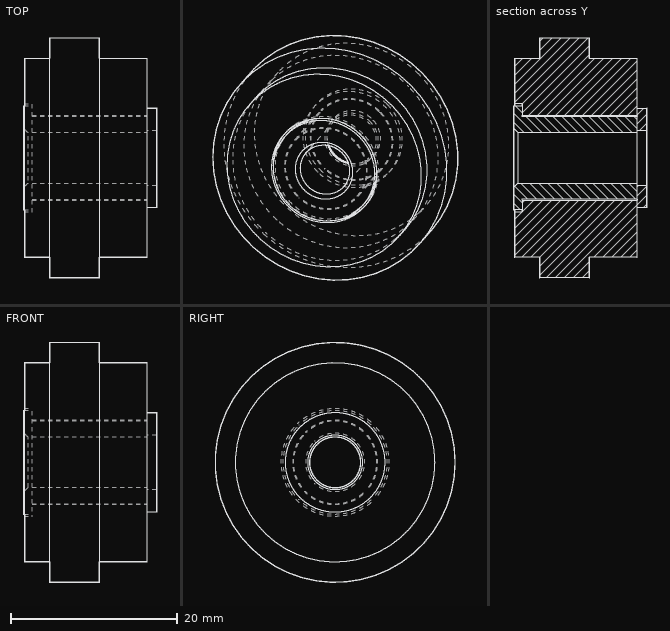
import cadquery as cq

TOTAL_LENGTH = 16.0

WHEEL_DIAMETER = 24
TREAD_DIAMETER = 28.9
WHEEL_BORE_DIAMETER = 10.2
HEAD_RECESS_DIAMETER = 13
HEAD_PROTRUSION = 0.1
FRONT_SHOULDER_LENGTH = 3.0
TREAD_WIDTH = 6.0

HEAD_DIAMETER = 12.5
HEAD_THICKNESS = 1.0
SHANK_DIAMETER = 10.0
BUSHING_BORE_DIAMETER = 6.1
BORE_CHAMFER = 0.5

WASHER_DIAMETER = 12.0
WASHER_HOLE_DIAMETER = 6.6
WASHER_THICKNESS = 1.15

WASHER_START = TOTAL_LENGTH - WASHER_THICKNESS
WHEEL_LENGTH = WASHER_START - HEAD_PROTRUSION
RECESS_DEPTH = HEAD_THICKNESS - HEAD_PROTRUSION


def cylinder(diameter, start, length):
    """Solid cylinder on the X axis, running toward +X from the start position."""
    return cq.Workplane("YZ").workplane(offset=start).circle(diameter / 2).extrude(length)


def make_wheel():
    """Wheel with a raised tread, a plain bore and a recess for the bushing head."""
    body = cylinder(WHEEL_DIAMETER, HEAD_PROTRUSION, WHEEL_LENGTH)
    tread = cylinder(TREAD_DIAMETER, HEAD_PROTRUSION + FRONT_SHOULDER_LENGTH, TREAD_WIDTH)
    bore = cylinder(WHEEL_BORE_DIAMETER, HEAD_PROTRUSION, WHEEL_LENGTH)
    recess = cylinder(HEAD_RECESS_DIAMETER, HEAD_PROTRUSION, RECESS_DEPTH)
    return body.union(tread).cut(bore).cut(recess)


def make_bushing():
    """Headed bushing whose head rests on the recess floor and whose shank meets the washer."""
    head = cylinder(HEAD_DIAMETER, 0, HEAD_THICKNESS)
    shank = cylinder(SHANK_DIAMETER, 0, WASHER_START)
    bore = cylinder(BUSHING_BORE_DIAMETER, 0, WASHER_START)
    bushing = head.union(shank).cut(bore)
    bore_edge = cq.selectors.RadiusNthSelector(0)
    return bushing.faces("<X").edges(bore_edge).chamfer(BORE_CHAMFER)


def make_washer():
    """Flat washer against the far end of the bushing and wheel."""
    disc = cylinder(WASHER_DIAMETER, WASHER_START, WASHER_THICKNESS)
    hole = cylinder(WASHER_HOLE_DIAMETER, WASHER_START, WASHER_THICKNESS)
    return disc.cut(hole)


wheel = make_wheel()
bushing = make_bushing()
washer = make_washer()

result = cq.Compound.makeCompound([wheel.val(), bushing.val(), washer.val()])